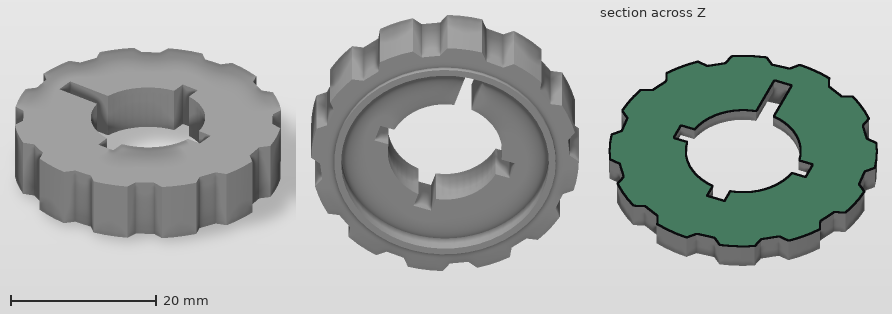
import cadquery as cq

ring_radius = 18.415
ring_height = 8.255

step_radius = 15.24
step_height = 0.635

recess_radius = 14.2875
recess_depth = 2.54

notch_count = 12
notch_floor_distance = 17.145
notch_floor_width = 2.54
notch_overrun = 2.0

bore_radius = 7.874
key_width = 2.54
key_tilt = -5.0
short_key_reach = 9.8
long_key_reach = 14.224
long_key_position = 2
key_count = 4

total_height = step_height + ring_height


def make_blank():
    """Ring sitting on its smaller step, with the step's underside at Z = 0."""
    step = cq.Workplane("XY").circle(step_radius).extrude(step_height)
    ring = cq.Workplane("XY").workplane(offset=step_height).circle(ring_radius).extrude(ring_height)
    return step.union(ring)


def make_notch(angle):
    """Cutter for one rim notch, opening outward at 45 degrees on each side."""
    half_floor = notch_floor_width / 2
    half_mouth = half_floor + notch_overrun
    mouth_distance = notch_floor_distance + notch_overrun
    return (
        cq.Workplane("XY")
        .workplane(offset=step_height)
        .moveTo(notch_floor_distance, -half_floor)
        .lineTo(mouth_distance, -half_mouth)
        .lineTo(mouth_distance, half_mouth)
        .lineTo(notch_floor_distance, half_floor)
        .close()
        .extrude(ring_height)
        .rotate((0, 0, 0), (0, 0, 1), angle)
    )


def make_keyway(reach, angle):
    """Cutter for one keyway, running from the axis out to its flat end."""
    return (
        cq.Workplane("XY")
        .center(reach / 2, 0)
        .rect(reach, key_width)
        .extrude(total_height)
        .rotate((0, 0, 0), (0, 0, 1), angle)
    )


def make_keyed_bore():
    """Round bore with three short keyways and one long one, right through the part."""
    bore = cq.Workplane("XY").circle(bore_radius).extrude(total_height)
    for position in range(key_count):
        reach = long_key_reach if position == long_key_position else short_key_reach
        bore = bore.union(make_keyway(reach, key_tilt + position * 360 / key_count))
    return bore


def make_recess():
    """Shallow round recess opening on the underside."""
    return cq.Workplane("XY").circle(recess_radius).extrude(recess_depth)


result = make_blank().cut(make_keyed_bore()).cut(make_recess())
for index in range(notch_count):
    result = result.cut(make_notch(index * 360 / notch_count))